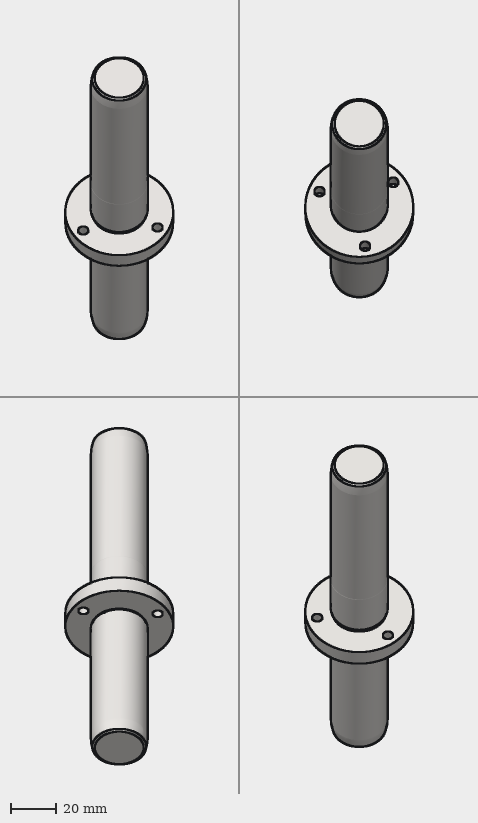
import cadquery as cq
import math

length = 180.0
shaft_radius = 25.4 / 2

lead_length = 6.1
lead_drop = 0.7
end_chamfer_height = 0.7
end_chamfer_width = 1.0
lead_radius = shaft_radius - lead_drop
end_radius = lead_radius - end_chamfer_width

flange_radius = 48.0 / 2
flange_bottom = 72.0
flange_thickness = 8.0
flange_top = flange_bottom + flange_thickness
hole_count = 3
hole_diameter = 4.5
hole_circle_radius = 19.0

neck_radius = 12.0
lower_neck_height = 1.0
upper_neck_height = 2.0

seat_step = 0.05
seat_radius = shaft_radius + seat_step
seat_top = 102.6
seat_bottom = flange_top + upper_neck_height
seat_top_chamfer = 0.4
seat_bottom_chamfer = 0.7


def arc_middle():
    """Radius and end distance of the middle of a lead-in arc tangent to the shaft."""
    run = lead_length - end_chamfer_height
    arc_radius = (run**2 + lead_drop**2) / (2 * lead_drop)
    half_angle = math.asin(run / arc_radius) / 2
    radius = shaft_radius - arc_radius * (1 - math.cos(half_angle))
    return radius, lead_length - arc_radius * math.sin(half_angle)


def make_body():
    """Revolve the half profile of the shaft, necks, flange and seat."""
    middle_radius, middle_height = arc_middle()
    return (
        cq.Workplane("XZ")
        .moveTo(0, 0)
        .lineTo(end_radius, 0)
        .lineTo(lead_radius, end_chamfer_height)
        .threePointArc((middle_radius, middle_height), (shaft_radius, lead_length))
        .lineTo(shaft_radius, flange_bottom - lower_neck_height)
        .lineTo(neck_radius, flange_bottom - lower_neck_height)
        .lineTo(neck_radius, flange_bottom)
        .lineTo(flange_radius, flange_bottom)
        .lineTo(flange_radius, flange_top)
        .lineTo(neck_radius, flange_top)
        .lineTo(neck_radius, seat_bottom)
        .lineTo(shaft_radius, seat_bottom)
        .lineTo(seat_radius, seat_bottom + seat_bottom_chamfer)
        .lineTo(seat_radius, seat_top - seat_top_chamfer)
        .lineTo(shaft_radius, seat_top)
        .lineTo(shaft_radius, length - lead_length)
        .threePointArc(
            (middle_radius, length - middle_height),
            (lead_radius, length - end_chamfer_height),
        )
        .lineTo(end_radius, length)
        .lineTo(0, length)
        .close()
        .revolve(360, (0, 0, 0), (0, 1, 0))
    )


def make_flange_holes():
    """Through holes spaced evenly round the flange, the first on +X."""
    return (
        cq.Workplane("XY", origin=(0, 0, flange_bottom))
        .polarArray(hole_circle_radius, 0, 360, hole_count)
        .circle(hole_diameter / 2)
        .extrude(flange_thickness)
    )


result = make_body().cut(make_flange_holes())